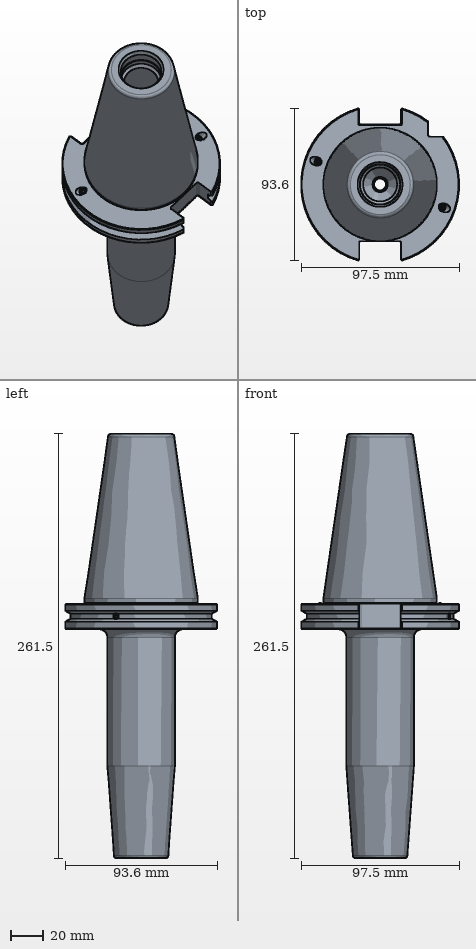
import cadquery as cq
import math

TOTAL_LENGTH = 261.5

TAPER_RATE = 7 / 48
GAUGE_Z = 160.0
GAUGE_RADIUS = 35.0
TAPER_TOP_FILLET = 2.0

NECK_RADIUS = 34.5
NECK_HEIGHT = 0.8

FLANGE_DIAMETER = 97.5
FLANGE_TOP_Z = 156.7
FLANGE_BOTTOM_Z = 141.0
FLANGE_CHAMFER = 0.8
FLANGE_TOP_CHAMFER = 0.5
GROOVE_Z = 149.0
GROOVE_DEPTH = 3.5
GROOVE_FLOOR_WIDTH = 3.1
GROOVE_FLANK_ANGLE = 30
SLOT_WIDTH = 25.6
FRONT_SLOT_FLOOR = 35.0
BACK_SLOT_FLOOR = 37.1
SLOT_CORNER_RADIUS = 0.8
SLOT_MOUTH_CHAMFER = 0.8
SLOT_BEVEL = 0.8
SLOT_BEVEL_ANGLE = 45
NOTCH_OFFSET = 29.5
NOTCH_CORNER_RADIUS = 1.0

SHANK_RADIUS = 21.0
SHANK_FILLET = 4.7
NOSE_TAPER_Z = 57.0
NOSE_RADIUS = 16.7
NOSE_FILLET = 1.8

MOUTH_RADIUS = 13.9
PILOT_RADIUS = 12.5
PILOT_DEPTH = 8.5
RELIEF_RADIUS = 12.3
RELIEF_DEPTH = 12.0
THREAD_RADIUS = 10.5
THREAD_DEPTH = 39.2
THROUGH_RADIUS = 4.7
MOUTH_ANGLE = 30

STOP_SCREW_LENGTH = 10.5
STOP_SCREW_BORE_RADIUS = 3.7

PORT_ANGLES = (160, 340)
COOLANT_MOUTH_RADIUS = 42.0
COOLANT_TILT = 45
COOLANT_SCREW_RADIUS = 2.5
COOLANT_SCREW_LENGTH = 3.7
COOLANT_SCREW_RECESS = 1.5
COOLANT_SOCKET_WIDTH = 3.0
PLUG_RADIUS = 1.8
PLUG_LENGTH = 3.1
PLUG_SOCKET_WIDTH = 1.8
SOCKET_DEPTH = 1.5

FLANGE_RADIUS = FLANGE_DIAMETER / 2
GROOVE_FLOOR_RADIUS = FLANGE_RADIUS - GROOVE_DEPTH
THREAD_BOTTOM_Z = TOTAL_LENGTH - THREAD_DEPTH
THREAD_CONE_END_Z = THREAD_BOTTOM_Z - (THREAD_RADIUS - THROUGH_RADIUS)


def revolve_profile(points):
    """Solid of revolution about Z from (radius, z) points."""
    return cq.Workplane("XZ").polyline(points).close().revolve(360, (0, 0, 0), (0, 1, 0))


def taper_and_shank():
    """Upper cone with its undercut neck, and the shank with its tapered nose."""
    top_radius = GAUGE_RADIUS - (TOTAL_LENGTH - GAUGE_Z) * TAPER_RATE
    cone = revolve_profile([
        (0, FLANGE_TOP_Z),
        (NECK_RADIUS, FLANGE_TOP_Z),
        (NECK_RADIUS, FLANGE_TOP_Z + NECK_HEIGHT),
        (GAUGE_RADIUS, FLANGE_TOP_Z + NECK_HEIGHT),
        (GAUGE_RADIUS, GAUGE_Z),
        (top_radius, TOTAL_LENGTH),
        (0, TOTAL_LENGTH),
    ]).faces(">Z").edges().fillet(TAPER_TOP_FILLET)
    shank = revolve_profile([
        (0, 0),
        (NOSE_RADIUS, 0),
        (SHANK_RADIUS, NOSE_TAPER_Z),
        (SHANK_RADIUS, FLANGE_BOTTOM_Z),
        (0, FLANGE_BOTTOM_Z),
    ]).faces("<Z").edges().fillet(NOSE_FILLET)
    return cone, shank


def shank_root():
    """Concave fillet between the shank and the underside of the flange."""
    mid = SHANK_FILLET * (1 - math.sqrt(0.5))
    return (
        cq.Workplane("XZ")
        .moveTo(0, FLANGE_BOTTOM_Z)
        .lineTo(SHANK_RADIUS + SHANK_FILLET, FLANGE_BOTTOM_Z)
        .threePointArc(
            (SHANK_RADIUS + mid, FLANGE_BOTTOM_Z - mid),
            (SHANK_RADIUS, FLANGE_BOTTOM_Z - SHANK_FILLET),
        )
        .lineTo(0, FLANGE_BOTTOM_Z - SHANK_FILLET)
        .close()
        .revolve(360, (0, 0, 0), (0, 1, 0))
    )


def drive_slot(floor_distance, z):
    """Plan outline of a drive slot open towards +Y, with rounded floor corners and a bevelled mouth."""
    half = SLOT_WIDTH / 2
    mouth_half = half + SLOT_MOUTH_CHAMFER
    mouth_y = math.sqrt(FLANGE_RADIUS**2 - mouth_half**2)
    flare_y = mouth_y - SLOT_MOUTH_CHAMFER
    outer_half = half + FLANGE_RADIUS - flare_y
    corner_y = floor_distance + SLOT_CORNER_RADIUS
    corner_x = half - SLOT_CORNER_RADIUS
    arc_inset = SLOT_CORNER_RADIUS * (1 - math.sqrt(0.5))
    return (
        cq.Workplane("XY")
        .workplane(offset=z)
        .moveTo(-corner_x, floor_distance)
        .lineTo(corner_x, floor_distance)
        .threePointArc((half - arc_inset, floor_distance + arc_inset), (half, corner_y))
        .lineTo(half, flare_y)
        .lineTo(outer_half, FLANGE_RADIUS)
        .lineTo(-outer_half, FLANGE_RADIUS)
        .lineTo(-half, flare_y)
        .lineTo(-half, corner_y)
        .threePointArc((-half + arc_inset, floor_distance + arc_inset), (-corner_x, floor_distance))
        .close()
    )


def flange():
    """Grooved disc with a notch and two drive slots, bevelled below in front and above at the back."""
    floor_half = GROOVE_FLOOR_WIDTH / 2
    rim_half = floor_half + GROOVE_DEPTH * math.tan(math.radians(GROOVE_FLANK_ANGLE))
    disc = revolve_profile([
        (0, FLANGE_BOTTOM_Z),
        (FLANGE_RADIUS - FLANGE_CHAMFER, FLANGE_BOTTOM_Z),
        (FLANGE_RADIUS, FLANGE_BOTTOM_Z + FLANGE_CHAMFER),
        (FLANGE_RADIUS, GROOVE_Z - rim_half),
        (GROOVE_FLOOR_RADIUS, GROOVE_Z - floor_half),
        (GROOVE_FLOOR_RADIUS, GROOVE_Z + floor_half),
        (FLANGE_RADIUS, GROOVE_Z + rim_half),
        (FLANGE_RADIUS, FLANGE_TOP_Z - FLANGE_TOP_CHAMFER),
        (FLANGE_RADIUS - FLANGE_TOP_CHAMFER, FLANGE_TOP_Z),
        (0, FLANGE_TOP_Z),
    ])
    height = FLANGE_TOP_Z - FLANGE_BOTTOM_Z
    base = cq.Workplane("XY").workplane(offset=FLANGE_BOTTOM_Z)
    front_edge = drive_slot(FRONT_SLOT_FLOOR, FLANGE_BOTTOM_Z + SLOT_BEVEL)
    front_slot = (
        drive_slot(FRONT_SLOT_FLOOR, FLANGE_BOTTOM_Z)
        .extrude(height)
        .union(front_edge.extrude(-SLOT_BEVEL, taper=-SLOT_BEVEL_ANGLE))
        .rotate((0, 0, 0), (0, 0, 1), 180)
    )
    back_edge = drive_slot(BACK_SLOT_FLOOR, FLANGE_TOP_Z - SLOT_BEVEL)
    back_slot = (
        drive_slot(BACK_SLOT_FLOOR, FLANGE_BOTTOM_Z)
        .extrude(height)
        .union(back_edge.extrude(SLOT_BEVEL, taper=-SLOT_BEVEL_ANGLE))
    )
    notch = (
        base.center(NOTCH_OFFSET, NOTCH_OFFSET)
        .rect(FLANGE_RADIUS, FLANGE_RADIUS, centered=False)
        .extrude(height)
        .edges("|Z and <X and <Y")
        .fillet(NOTCH_CORNER_RADIUS)
    )
    return disc.cut(front_slot).cut(back_slot).cut(notch)


def bore():
    """Countersunk, stepped drawbar bore that narrows to the through bore."""
    mouth_depth = (MOUTH_RADIUS - PILOT_RADIUS) / math.tan(math.radians(MOUTH_ANGLE))
    return revolve_profile([
        (0, 0),
        (THROUGH_RADIUS, 0),
        (THROUGH_RADIUS, THREAD_CONE_END_Z),
        (THREAD_RADIUS, THREAD_BOTTOM_Z),
        (THREAD_RADIUS, TOTAL_LENGTH - RELIEF_DEPTH - (RELIEF_RADIUS - THREAD_RADIUS)),
        (RELIEF_RADIUS, TOTAL_LENGTH - RELIEF_DEPTH),
        (RELIEF_RADIUS, TOTAL_LENGTH - PILOT_DEPTH),
        (PILOT_RADIUS, TOTAL_LENGTH - PILOT_DEPTH + (PILOT_RADIUS - RELIEF_RADIUS)),
        (PILOT_RADIUS, TOTAL_LENGTH - mouth_depth),
        (MOUTH_RADIUS, TOTAL_LENGTH),
        (0, TOTAL_LENGTH),
    ])


def coolant_plane(angle):
    """Plane at a coolant port's mouth; its normal leaves the flange up and outwards."""
    turn = math.radians(angle)
    tilt = math.radians(COOLANT_TILT)
    outward = cq.Vector(math.cos(turn), math.sin(turn), 0)
    origin = outward * COOLANT_MOUTH_RADIUS + cq.Vector(0, 0, FLANGE_TOP_Z)
    normal = outward * math.sin(tilt) + cq.Vector(0, 0, math.cos(tilt))
    return cq.Plane(origin, xDir=(-math.sin(turn), math.cos(turn), 0), normal=normal)


def plug_plane(angle):
    """Plane on the groove floor; its normal points radially outwards."""
    turn = math.radians(angle)
    outward = cq.Vector(math.cos(turn), math.sin(turn), 0)
    origin = outward * GROOVE_FLOOR_RADIUS + cq.Vector(0, 0, GROOVE_Z)
    return cq.Plane(origin, xDir=(-math.sin(turn), math.cos(turn), 0), normal=outward)


def socket_screw(plane, radius, length, recess, socket_width):
    """Headless screw with a hexagon socket, its outer end sunk below the plane."""
    body = cq.Workplane(plane).workplane(offset=-recess).circle(radius).extrude(-length)
    socket = (
        cq.Workplane(plane)
        .workplane(offset=-recess)
        .polygon(6, socket_width, circumscribed=True)
        .extrude(-SOCKET_DEPTH)
    )
    return body.cut(socket)


def port_hole(plane, radius, depth):
    """Blind hole below a plane, run out past it by one diameter."""
    return cq.Workplane(plane).workplane(offset=-depth).circle(radius).extrude(depth + 2 * radius)


def coolant_screw(angle):
    return socket_screw(
        coolant_plane(angle), COOLANT_SCREW_RADIUS, COOLANT_SCREW_LENGTH,
        COOLANT_SCREW_RECESS, COOLANT_SOCKET_WIDTH,
    )


def groove_plug(angle):
    return socket_screw(plug_plane(angle), PLUG_RADIUS, PLUG_LENGTH, 0, PLUG_SOCKET_WIDTH)


def stop_screw():
    """Hollow screw filling the through bore just under the drawbar bore."""
    return (
        cq.Workplane("XY")
        .workplane(offset=THREAD_CONE_END_Z)
        .circle(THROUGH_RADIUS)
        .circle(STOP_SCREW_BORE_RADIUS)
        .extrude(-STOP_SCREW_LENGTH)
    )


def holder():
    cone, shank = taper_and_shank()
    body = flange().union(cone).union(shank).union(shank_root()).cut(bore())
    for angle in PORT_ANGLES:
        coolant_depth = COOLANT_SCREW_RECESS + COOLANT_SCREW_LENGTH
        body = body.cut(port_hole(coolant_plane(angle), COOLANT_SCREW_RADIUS, coolant_depth))
        body = body.cut(port_hole(plug_plane(angle), PLUG_RADIUS, PLUG_LENGTH))
    return body


coolant_screws = [coolant_screw(angle).val() for angle in PORT_ANGLES]
groove_plugs = [groove_plug(angle).val() for angle in PORT_ANGLES]

result = cq.Compound.makeCompound([
    holder().val(),
    stop_screw().val(),
    *coolant_screws,
    *groove_plugs,
])